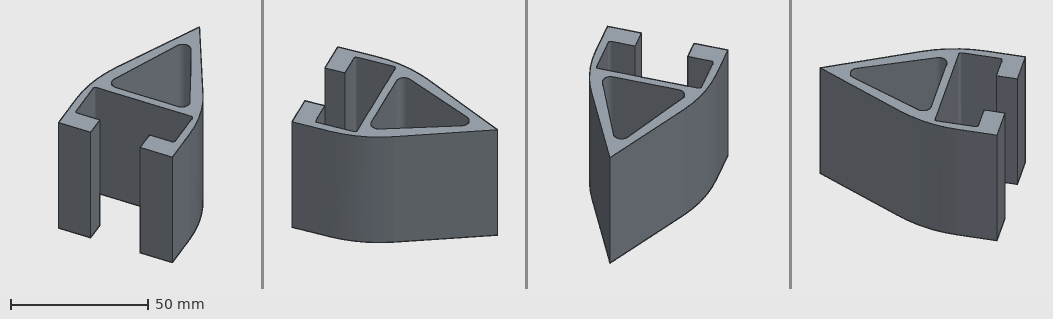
import cadquery as cq
import math

width = 46.0
length = 71.5
height = 50.0
side_length = 14.8
side_radius = 50.0

wall = 3.0
channel_end = 24.0
lip_depth = 7.9
slot_width = 20.0
channel_fillet = 1.0

web = 3.0
cavity_radius = 3.0
cavity_tip = 60.15
cavity_half_width = 15.5


def side_arc_angle():
    """Angle through which each side arc turns to run tangent into the nose flank."""
    center_to_axis = side_radius - width / 2
    center_to_nose = length - side_length
    distance = math.hypot(center_to_axis, center_to_nose)
    return math.atan2(center_to_nose, center_to_axis) - math.acos(side_radius / distance)


def side_point(angle):
    """Point on the right side arc, measured from its start on the straight side."""
    x = width / 2 - side_radius * (1 - math.cos(angle))
    y = side_length + side_radius * math.sin(angle)
    return x, y


def mirrored(point):
    return -point[0], point[1]


def make_body():
    angle = side_arc_angle()
    middle = side_point(angle / 2)
    end = side_point(angle)
    return (
        cq.Workplane("XY")
        .moveTo(-width / 2, 0)
        .lineTo(width / 2, 0)
        .lineTo(width / 2, side_length)
        .threePointArc(middle, end)
        .lineTo(0, length)
        .lineTo(*mirrored(end))
        .threePointArc(mirrored(middle), (-width / 2, side_length))
        .close()
        .extrude(height)
    )


def make_channel():
    channel_width = width - 2 * wall
    channel_depth = channel_end - lip_depth
    channel = (
        cq.Workplane("XY")
        .center(0, lip_depth + channel_depth / 2)
        .rect(channel_width, channel_depth)
        .extrude(height)
        .edges("|Z")
        .fillet(channel_fillet)
    )
    slot_depth = lip_depth + channel_depth / 2
    slot = (
        cq.Workplane("XY")
        .center(0, slot_depth / 2)
        .rect(slot_width, slot_depth)
        .extrude(height)
    )
    return channel.union(slot)


def make_cavity():
    corner_x = cavity_half_width - cavity_radius
    corner_y = channel_end + web + cavity_radius
    tip_y = cavity_tip - cavity_radius
    return (
        cq.Workplane("XY")
        .polyline([(-corner_x, corner_y), (corner_x, corner_y), (0, tip_y)])
        .close()
        .offset2D(cavity_radius, "arc")
        .extrude(height)
    )


result = make_body().cut(make_channel()).cut(make_cavity())